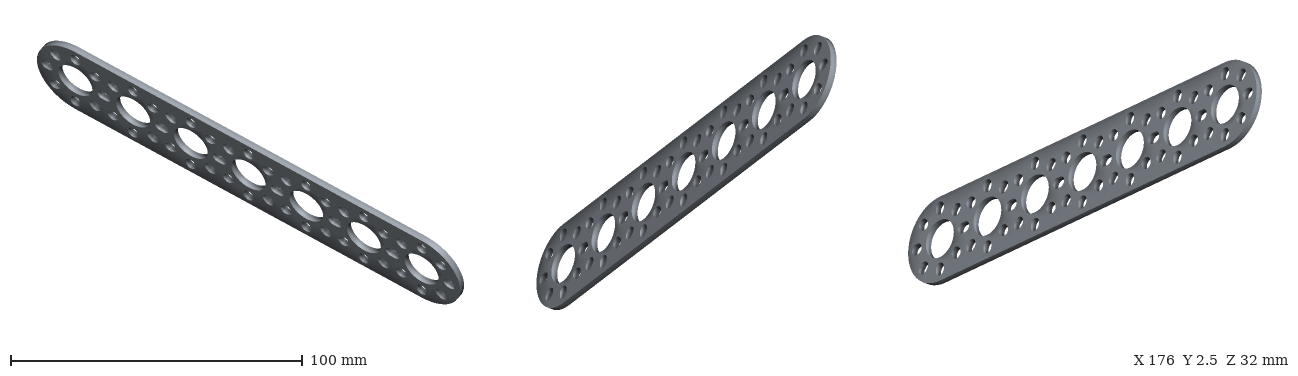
import cadquery as cq
import math

LENGTH = 176.0
HEIGHT = 32.0
THICKNESS = 2.5

LARGE_HOLE_COUNT = 7
LARGE_HOLE_DIAMETER = 14.0
PITCH = (LENGTH - HEIGHT) / (LARGE_HOLE_COUNT - 1)
HALF_SPAN = (LENGTH - HEIGHT) / 2

SLOT_WIDTH = 4.0
SLOT_INNER_RADIUS = 11.3
SLOT_OUTER_RADIUS = PITCH / 2
SLOT_RADIUS = (SLOT_INNER_RADIUS + SLOT_OUTER_RADIUS) / 2
SLOT_LENGTH = SLOT_OUTER_RADIUS - SLOT_INNER_RADIUS + SLOT_WIDTH
SLOT_ANGLES = (45, 90, 135, 225, 270, 315)

LINK_SLOT_LENGTH = PITCH - 2 * SLOT_INNER_RADIUS + SLOT_WIDTH


def front_face():
    """Sketch plane on the -Y face of the bar; a negative extrusion runs into the bar."""
    return cq.Workplane("XZ", origin=(0, -THICKNESS / 2, 0))


def slot_cutter(x, z, length, angle):
    """Round-ended slot through the bar, centred at (x, z) and turned by angle in degrees."""
    return (
        front_face()
        .center(x, z)
        .slot2D(length, SLOT_WIDTH, angle)
        .extrude(-THICKNESS)
    )


def radial_slot_cutter(hole_x, angle):
    """Slot pointing away from the large hole at hole_x."""
    x = hole_x + SLOT_RADIUS * math.cos(math.radians(angle))
    z = SLOT_RADIUS * math.sin(math.radians(angle))
    return slot_cutter(x, z, SLOT_LENGTH, angle)


hole_positions = [i * PITCH - HALF_SPAN for i in range(LARGE_HOLE_COUNT)]

bar = front_face().slot2D(LENGTH, HEIGHT).extrude(-THICKNESS)

large_holes = (
    front_face()
    .pushPoints([(x, 0) for x in hole_positions])
    .circle(LARGE_HOLE_DIAMETER / 2)
    .extrude(-THICKNESS)
)
result = bar.cut(large_holes)

for hole_x in hole_positions:
    for angle in SLOT_ANGLES:
        result = result.cut(radial_slot_cutter(hole_x, angle))

for hole_x in hole_positions[:-1]:
    result = result.cut(slot_cutter(hole_x + PITCH / 2, 0, LINK_SLOT_LENGTH, 0))

result = result.cut(radial_slot_cutter(hole_positions[0], 180))
result = result.cut(radial_slot_cutter(hole_positions[-1], 0))